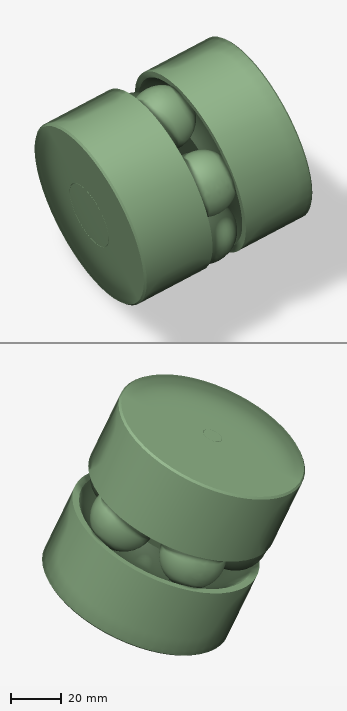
import cadquery as cq

FRONT_DIAMETER = 81.0
REAR_DIAMETER = 80.65
TOTAL_LENGTH = 80.5
RACE_GAP = 16.0
EDGE_CHAMFER = 0.8

BALL_COUNT = 5
BALL_DIAMETER = 27.05
BALL_CIRCLE_RADIUS = 26.7
FIRST_BALL_ANGLE = 180.0

SHANK_DIAMETER = 7.9
BORE_DIAMETER = 8.2
HEAD_DIAMETER = 28.2
HEAD_RECESS_DIAMETER = 28.5
HEAD_THICKNESS = 8.1

half_length = TOTAL_LENGTH / 2
half_gap = RACE_GAP / 2
race_thickness = half_length - half_gap
head_inner_y = HEAD_THICKNESS - half_length


def cylinder_along_y(diameter, start_y, end_y):
    """Cylinder on the bearing axis between two Y positions."""
    return (
        cq.Workplane("XZ", origin=(0, start_y, 0))
        .circle(diameter / 2)
        .extrude(start_y - end_y)
    )


def make_ball_track():
    """Ring swept by a ball rolling around the bearing axis."""
    return (
        cq.Workplane("XY")
        .center(BALL_CIRCLE_RADIUS, 0)
        .circle(BALL_DIAMETER / 2)
        .revolve(360, (-BALL_CIRCLE_RADIUS, 0), (-BALL_CIRCLE_RADIUS, 1))
    )


def make_race(diameter, inner_y, outer_y, outer_face):
    """Grooved disc with a through bore and a chamfered outer edge."""
    disc = cylinder_along_y(diameter, inner_y, outer_y)
    disc = disc.faces(outer_face).edges().chamfer(EDGE_CHAMFER)
    bore = cylinder_along_y(BORE_DIAMETER, inner_y, outer_y)
    return disc.cut(make_ball_track()).cut(bore)


def make_front_race():
    """Race with a recess that takes the bolt head."""
    race = make_race(FRONT_DIAMETER, -half_gap, -half_length, "<Y")
    recess = cylinder_along_y(HEAD_RECESS_DIAMETER, -half_length, head_inner_y)
    return race.cut(recess)


def make_rear_race():
    """Plain race at the far end of the bolt."""
    return make_race(REAR_DIAMETER, half_gap, half_length, ">Y")


def make_bolt():
    """Flush disc head with a slim shank through both races."""
    head = cylinder_along_y(HEAD_DIAMETER, -half_length, head_inner_y)
    shank = cylinder_along_y(SHANK_DIAMETER, head_inner_y, half_length)
    return head.union(shank)


def make_balls():
    """Evenly spaced balls in the mid-plane of the gap."""
    balls = cq.Workplane("XZ").polarArray(BALL_CIRCLE_RADIUS, FIRST_BALL_ANGLE, 360, BALL_COUNT)
    return balls.sphere(BALL_DIAMETER / 2, combine=False)


front_race = make_front_race()
rear_race = make_rear_race()
bolt = make_bolt()
balls = make_balls()

result = cq.Compound.makeCompound([front_race.val(), rear_race.val(), bolt.val(), *balls.vals()])